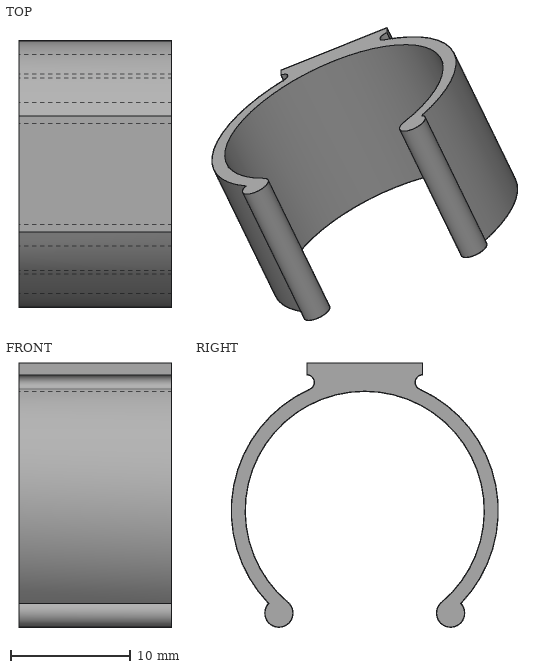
import cadquery as cq
import math

clip_length = 12.76
outer_radius = 11.18
wall = 1.18
mouth_half_angle = 40.0
pad_width = 9.7
pad_top = 12.38
pad_edge_thickness = 1.0

inner_radius = outer_radius - wall
bead_radius = wall
pad_half_width = pad_width / 2
pad_underside = pad_top - pad_edge_thickness

groove_radius = (
    (pad_half_width**2 + pad_underside**2 - outer_radius**2)
    / (2 * (outer_radius + pad_underside))
)
groove_height = pad_underside - groove_radius
groove_angle = math.degrees(math.atan2(groove_height, pad_half_width))


def polar(radius, angle, center=(0, 0)):
    """Point in the YZ plane at an angle in degrees from +Y."""
    turn = math.radians(angle)
    return (center[0] + radius * math.cos(turn), center[1] + radius * math.sin(turn))


def mirrored(point):
    return (-point[0], point[1])


def clip_body():
    """Open ring, necked pad and both grooves in one extruded profile."""
    arm_angle = mouth_half_angle - 90
    outer_end = polar(outer_radius, arm_angle)
    outer_middle = polar(outer_radius, 0)
    inner_end = polar(inner_radius, arm_angle)
    groove_start = polar(outer_radius, groove_angle)
    groove_middle_angle = (180 + groove_angle + 90) / 2
    groove_middle = polar(groove_radius, groove_middle_angle, (pad_half_width, groove_height))
    pad_lower = (pad_half_width, pad_underside)
    pad_upper = (pad_half_width, pad_top)
    return (
        cq.Workplane("YZ")
        .moveTo(*inner_end)
        .lineTo(*outer_end)
        .threePointArc(outer_middle, groove_start)
        .threePointArc(groove_middle, pad_lower)
        .lineTo(*pad_upper)
        .lineTo(*mirrored(pad_upper))
        .lineTo(*mirrored(pad_lower))
        .threePointArc(mirrored(groove_middle), mirrored(groove_start))
        .threePointArc(mirrored(outer_middle), mirrored(outer_end))
        .lineTo(*mirrored(inner_end))
        .threePointArc((0, inner_radius), inner_end)
        .close()
        .extrude(clip_length / 2, both=True)
    )


def end_beads():
    """Round beads along the free ends of the two arms."""
    center = polar(outer_radius, mouth_half_angle - 90)
    return (
        cq.Workplane("YZ")
        .pushPoints([center, mirrored(center)])
        .circle(bead_radius)
        .extrude(clip_length / 2, both=True)
    )


result = clip_body().union(end_beads())